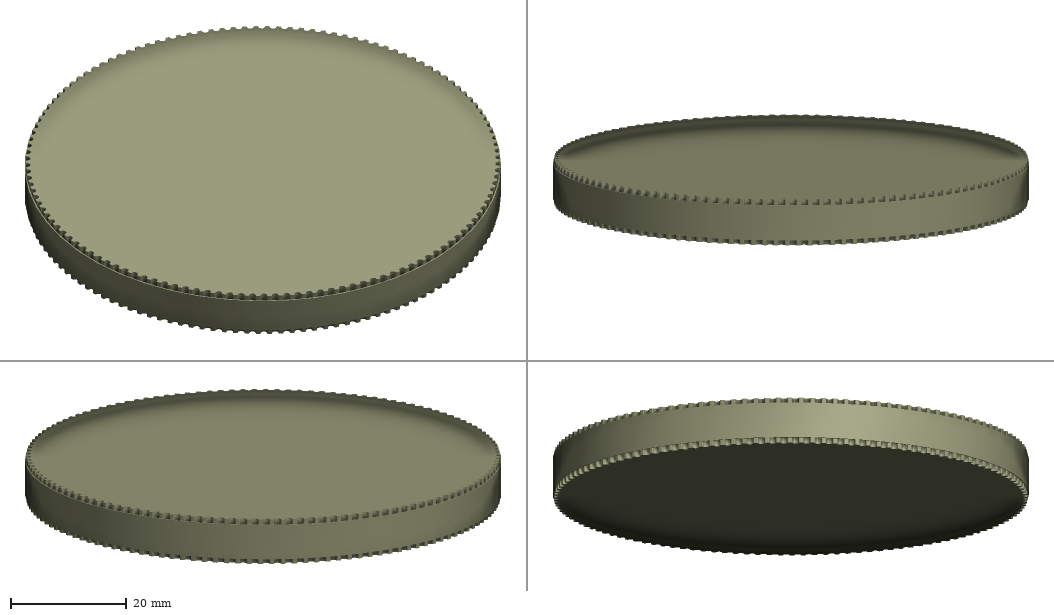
import cadquery as cq
import math

band_diameter = 82.8
land_diameter = 82.3
thickness = 8.0
band_height = 6.2
tooth_count = 130
groove_depth = 0.75
tip_fillet = 0.2

band_radius = band_diameter / 2
land_radius = land_diameter / 2
pitch_angle = 2 * math.pi / tooth_count

groove_radius = groove_depth - tip_fillet
groove_center_radius = land_radius - tip_fillet
groove_half_width = groove_radius + tip_fillet
groove_half_angle = math.asin(groove_half_width / land_radius)
tip_middle_offset = tip_fillet * math.sqrt(0.5)
tip_middle_radial = groove_center_radius + tip_middle_offset
tip_middle_sideways = groove_half_width - tip_middle_offset


def polar(radius, angle):
    return (radius * math.cos(angle), radius * math.sin(angle))


def groove_point(radial, sideways, angle):
    """Point placed along and beside the middle line of the groove at the given angle."""
    return (
        radial * math.cos(angle) - sideways * math.sin(angle),
        radial * math.sin(angle) + sideways * math.cos(angle),
    )


def add_groove_and_land(outline, angle):
    """Extend the outline over one groove and the land that follows it."""
    return (
        outline
        .threePointArc(
            groove_point(tip_middle_radial, -tip_middle_sideways, angle),
            groove_point(groove_center_radius, -groove_radius, angle),
        )
        .threePointArc(
            polar(land_radius - groove_depth, angle),
            groove_point(groove_center_radius, groove_radius, angle),
        )
        .threePointArc(
            groove_point(tip_middle_radial, tip_middle_sideways, angle),
            polar(land_radius, angle + groove_half_angle),
        )
        .threePointArc(
            polar(land_radius, angle + pitch_angle / 2),
            polar(land_radius, angle + pitch_angle - groove_half_angle),
        )
    )


def toothed_disc():
    """Solid disc with grooves running through its full thickness."""
    base = cq.Workplane("XY").workplane(offset=-thickness / 2)
    outline = base.moveTo(*polar(land_radius, -groove_half_angle))
    for index in range(tooth_count):
        outline = add_groove_and_land(outline, index * pitch_angle)
    return outline.close().extrude(thickness)


def band():
    """Thin ring around the teeth, centred in the thickness."""
    base = cq.Workplane("XY").workplane(offset=-band_height / 2)
    return base.circle(band_radius).circle(land_radius).extrude(band_height)


result = toothed_disc().union(band())